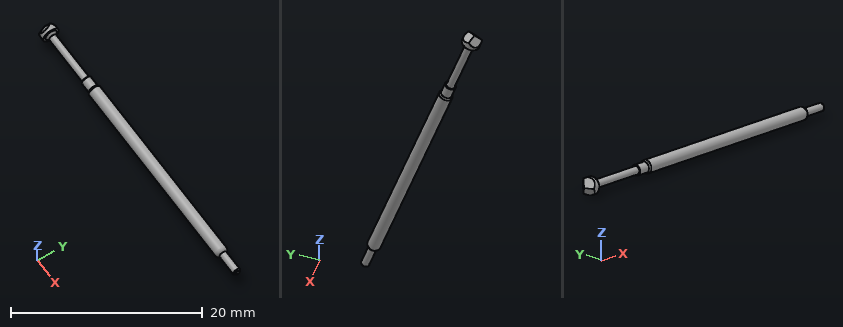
import cadquery as cq
import math

length = 35.8

head_radius = 0.985
facet_half_angle = 50.0
facet_count = 3
head_end = 1.25
neck_start_radius = 0.7
neck_end = 1.58

plunger_radius = 0.45
plunger_end = 7.8
collar_radius = 0.6

barrel_radius = 0.75
barrel_start = 9.13
front_chamfer_length = 0.2
barrel_end = 33.2
rear_round_radius = 0.5

tail_radius = 0.45
tail_chamfer = 0.15


def pin_body():
    """Revolve the stepped outline around the X axis."""
    round_start = barrel_end - rear_round_radius
    round_center_radius = barrel_radius - rear_round_radius
    meet_height = tail_radius - round_center_radius
    meet_x = round_start + math.sqrt(rear_round_radius**2 - meet_height**2)
    middle_angle = (math.pi / 2 + math.asin(meet_height / rear_round_radius)) / 2
    round_middle = (
        round_start + rear_round_radius * math.cos(middle_angle),
        round_center_radius + rear_round_radius * math.sin(middle_angle),
    )
    return (
        cq.Workplane("XY")
        .moveTo(0, 0)
        .lineTo(0, head_radius)
        .lineTo(head_end, head_radius)
        .lineTo(head_end, neck_start_radius)
        .lineTo(neck_end, plunger_radius)
        .lineTo(plunger_end, plunger_radius)
        .lineTo(plunger_end, collar_radius)
        .lineTo(barrel_start, collar_radius)
        .lineTo(barrel_start + front_chamfer_length, barrel_radius)
        .lineTo(round_start, barrel_radius)
        .threePointArc(round_middle, (meet_x, tail_radius))
        .lineTo(length - tail_chamfer, tail_radius)
        .lineTo(length, tail_radius - tail_chamfer)
        .lineTo(length, 0)
        .close()
        .revolve(360, (0, 0, 0), (1, 0, 0))
    )


def facet_cutter():
    """Wedge removed in front of the facet that faces +Y."""
    reach = 2 * head_radius
    setback = reach / math.tan(math.radians(facet_half_angle))
    return (
        cq.Workplane("XY")
        .polyline([(-setback, -reach), (setback, reach), (-setback, reach)])
        .close()
        .extrude(reach, both=True)
    )


result = pin_body()
for index in range(facet_count):
    turn = index * 360 / facet_count
    result = result.cut(facet_cutter().rotate((0, 0, 0), (1, 0, 0), turn))